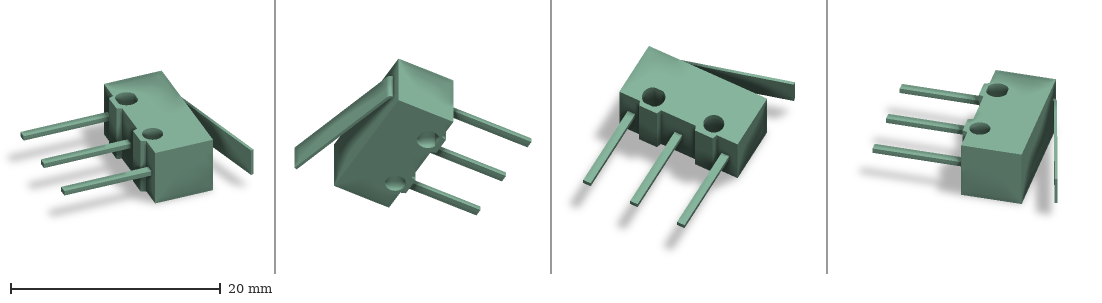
import cadquery as cq
import math


case_width = 12.82
case_depth = 5.97
case_thickness = 5.8
half_width = case_width / 2
front_y = -case_depth

cover_depth = 3.55
parting_y = -cover_depth
tongue_left = -1.8
tongue_right = 1.8
tongue_gap = 0.41
tongue_y = front_y + tongue_gap

hole_diameter = 2.0
hole_front_offset = 1.01
hole_y = front_y + hole_front_offset
round_hole_x = 3.28
flatted_hole_x = -3.23
flatted_hole_diameter = 2.23

rib_positions = (-3.02, 3.02)
rib_root_width = 2.27
rib_tip_width = 1.91
rib_height = 0.5

terminal_count = 3
terminal_pitch = 5.09
terminal_width = 0.8
terminal_thickness = 0.5
terminal_length = 9.01

lever_left = -5.33
lever_sheet = 0.3
lever_height = 2.82
lever_outer_radius = 0.5
lever_inner_radius = lever_outer_radius - lever_sheet
lever_angle = 15
lever_arm_length = 12.76


def extrude_centred(sketch, thickness):
    """Extrude an XY outline symmetrically about Z = 0."""
    return sketch.extrude(thickness / 2, both=True)


def make_cover():
    """Rear half of the case, with a tongue reaching into the base."""
    outline = cq.Workplane("XY").polyline([
        (-half_width, 0),
        (half_width, 0),
        (half_width, parting_y),
        (tongue_right, parting_y),
        (tongue_right, tongue_y),
        (tongue_left, tongue_y),
        (tongue_left, parting_y),
        (-half_width, parting_y),
    ]).close()
    return extrude_centred(outline, case_thickness)


def make_rib(x):
    """Tapered rib standing on the front face."""
    outline = cq.Workplane("XY").polyline([
        (x - rib_root_width / 2, front_y),
        (x + rib_root_width / 2, front_y),
        (x + rib_tip_width / 2, front_y - rib_height),
        (x - rib_tip_width / 2, front_y - rib_height),
    ]).close()
    return extrude_centred(outline, case_thickness)


def make_round_hole():
    outline = cq.Workplane("XY").center(round_hole_x, hole_y).circle(hole_diameter / 2)
    return extrude_centred(outline, case_thickness)


def make_flatted_hole():
    """Wider round hole with flats that keep its Y size equal to the round hole."""
    centre = cq.Workplane("XY").center(flatted_hole_x, hole_y)
    cylinder = extrude_centred(centre.circle(flatted_hole_diameter / 2), case_thickness)
    flats = centre.box(flatted_hole_diameter, hole_diameter, case_thickness)
    return cylinder.intersect(flats)


def make_base():
    """Front half of the case: tongue recess, ribs and mounting holes."""
    outline = cq.Workplane("XY").polyline([
        (-half_width, parting_y),
        (tongue_left, parting_y),
        (tongue_left, tongue_y),
        (tongue_right, tongue_y),
        (tongue_right, parting_y),
        (half_width, parting_y),
        (half_width, front_y),
        (-half_width, front_y),
    ]).close()
    body = extrude_centred(outline, case_thickness)
    for x in rib_positions:
        body = body.union(make_rib(x))
    return body.cut(make_round_hole()).cut(make_flatted_hole())


def make_terminal(x):
    """Straight rectangular terminal standing on the front face."""
    return cq.Workplane("XY").box(terminal_width, terminal_length, terminal_thickness).translate(
        (x, front_y - terminal_length / 2, 0)
    )


def make_lever():
    """Sheet lever that rises from the rear face, bends and runs out at a slope."""
    slope = math.radians(lever_angle)
    bend_x = lever_left + lever_outer_radius
    bend_end = math.pi / 2 + slope
    bend_middle = (math.pi + bend_end) / 2

    def bend_point(radius, angle):
        return (bend_x + radius * math.cos(angle), radius * math.sin(angle))

    def arm_tip(radius):
        x, y = bend_point(radius, bend_end)
        return (x + lever_arm_length * math.cos(slope), y + lever_arm_length * math.sin(slope))

    outline = (
        cq.Workplane("XY")
        .moveTo(*bend_point(lever_outer_radius, math.pi))
        .threePointArc(
            bend_point(lever_outer_radius, bend_middle),
            bend_point(lever_outer_radius, bend_end),
        )
        .lineTo(*arm_tip(lever_outer_radius))
        .lineTo(*arm_tip(lever_inner_radius))
        .lineTo(*bend_point(lever_inner_radius, bend_end))
        .threePointArc(
            bend_point(lever_inner_radius, bend_middle),
            bend_point(lever_inner_radius, math.pi),
        )
        .close()
    )
    return extrude_centred(outline, lever_height)


cover = make_cover()
base = make_base()
lever = make_lever()
terminals = []
for index in range(terminal_count):
    terminal_x = (index - (terminal_count - 1) / 2) * terminal_pitch
    terminals.append(make_terminal(terminal_x).val())

result = cq.Compound.makeCompound([cover.val(), base.val(), lever.val(), *terminals])